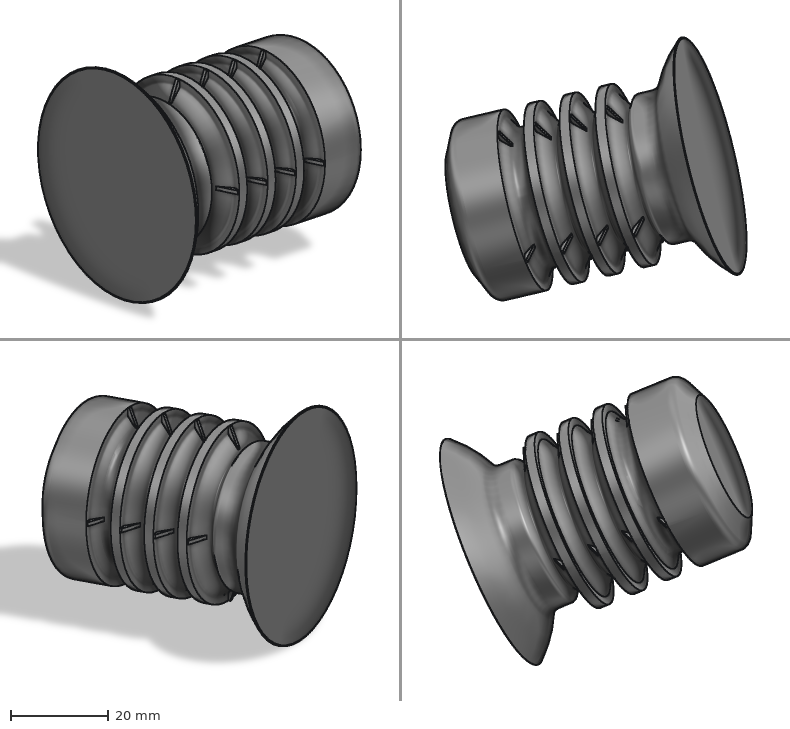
import cadquery as cq
import math


length = 53.0
lip_diameter = 50.3
lip_radius = lip_diameter / 2
body_radius = 19.2

body_front = 40.0
body_back_corner = 50.1
body_back_radius = 13.6
body_back_round = 2.1

ridge_count = 3
ridge_width = 2.1
first_ridge_front = 32.15
last_ridge_front = 16.75
ridge_pitch = (first_ridge_front - last_ridge_front) / (ridge_count - 1)
shoulder_radius = 17.5
shoulder_round = 1.05
groove_root_radius = 13.45
groove_front_drop = 3.0
groove_back_slope = 0.63
first_groove_round = 1.9
groove_round = 0.4

cuff_radius = 15.95
cuff_round = 1.05
cuff_front = 8.75
flare_start_radius = 17.5
flare_start_y = 6.2
lip_thickness = 0.15
lip_face_radius = 24.85

ribs_per_ring = 4
rib_thickness = 0.85
rib_rim_depth = 0.4
rib_tip_depth = 2.3
rib_tip_radius = 14.45
rib_root_radius = 13.45

ring_fronts = [body_front]
ring_fronts += [first_ridge_front - i * ridge_pitch for i in range(ridge_count)]


def draw_rounded(sketch, corners):
    """Draw lines through (radius, y, rounding) corners, with a tangent arc at each rounded one."""
    for index, (x, y, rounding) in enumerate(corners):
        if rounding == 0:
            sketch = sketch.lineTo(x, y)
            continue
        corner = cq.Vector(x, y)
        to_previous = (cq.Vector(*corners[index - 1][:2]) - corner).normalized()
        to_next = (cq.Vector(*corners[index + 1][:2]) - corner).normalized()
        half_angle = to_previous.getAngle(to_next) / 2
        setback = rounding / math.tan(half_angle)
        to_arc_middle = rounding / math.sin(half_angle) - rounding
        start = corner + to_previous * setback
        middle = corner + (to_previous + to_next).normalized() * to_arc_middle
        end = corner + to_next * setback
        sketch = sketch.lineTo(start.x, start.y)
        sketch = sketch.threePointArc((middle.x, middle.y), (end.x, end.y))
    return sketch


def body_corners():
    return [
        (body_back_radius, length, 0),
        (body_radius, body_back_corner, body_back_round),
        (body_radius, body_front, 0),
    ]


def groove_corners(ring_front, rounding):
    """Front flat of a ring and the V groove below it, down to the root."""
    return [
        (shoulder_radius, ring_front, shoulder_round),
        (groove_root_radius, ring_front - groove_front_drop, rounding),
    ]


def ridge_corners(ridge_front):
    ridge_back = ridge_front + ridge_width
    return [
        (shoulder_radius, ridge_back, 0),
        (body_radius, ridge_back, 0),
        (body_radius, ridge_front, 0),
    ]


def cuff_corners():
    """Cuff wall, from the rounded back corner to the start of the flare."""
    root_y = ring_fronts[-1] - groove_front_drop
    cuff_back = root_y - groove_back_slope * (cuff_radius - groove_root_radius)
    return [
        (cuff_radius, cuff_back, cuff_round),
        (cuff_radius, cuff_front, 0),
    ]


def turned_body():
    corners = body_corners() + groove_corners(body_front, first_groove_round)
    for ridge_front in ring_fronts[1:]:
        corners += ridge_corners(ridge_front)
        corners += groove_corners(ridge_front, groove_round)
    corners += cuff_corners()
    profile = draw_rounded(cq.Workplane("XY").moveTo(0, length), corners)
    profile = (
        profile.tangentArcPoint((flare_start_radius, flare_start_y), relative=False)
        .tangentArcPoint((lip_radius, lip_thickness), relative=False)
        .lineTo(lip_face_radius, 0)
        .lineTo(0, 0)
        .close()
    )
    return profile.revolve(360, (0, 0, 0), (0, 1, 0))


def rib(ring_front):
    return (
        cq.Workplane("XY")
        .moveTo(rib_root_radius, ring_front)
        .lineTo(body_radius, ring_front)
        .lineTo(body_radius, ring_front - rib_rim_depth)
        .lineTo(rib_tip_radius, ring_front - rib_tip_depth)
        .lineTo(rib_root_radius, ring_front - rib_tip_depth)
        .close()
        .extrude(rib_thickness / 2, both=True)
    )


result = turned_body()
for ring_front in ring_fronts:
    for i in range(ribs_per_ring):
        angle = i * 360 / ribs_per_ring
        result = result.union(rib(ring_front).rotate((0, 0, 0), (0, 1, 0), angle))